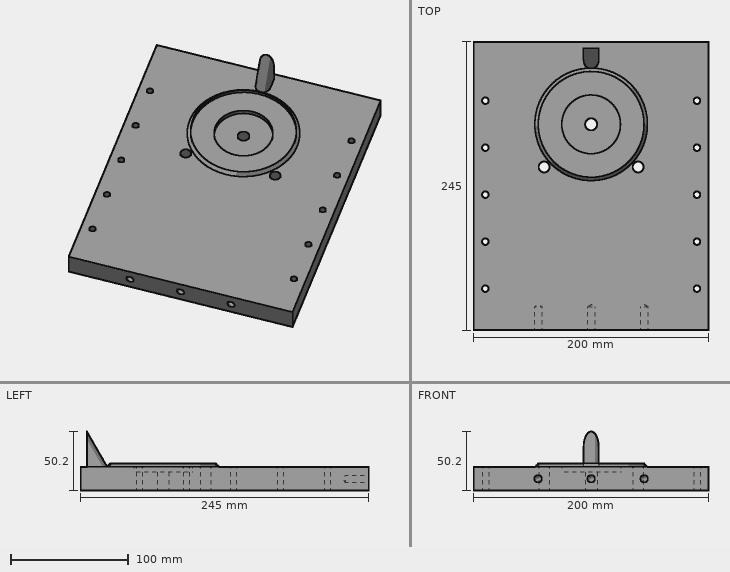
import cadquery as cq
import math

plate_width = 200.0
plate_length = 245.0
plate_thickness = 20.0
back_y = plate_length / 2
front_y = -plate_length / 2

seat_y = back_y - 70.0
rim_inner_diameter = 90.0
rim_height = 3.0
recess_diameter = 50.0
recess_depth = 4.0
bore_diameter = 10.0

side_hole_diameter = 9.0
side_hole_x = 40.0
side_hole_y = seat_y - 36.3

row_hole_diameter = 5.5
row_hole_x = 90.0
row_hole_count = 5
row_pitch = 40.0
row_start_y = back_y - 50.0

front_hole_diameter = 6.4
front_hole_pitch = 45.0
front_hole_depth = 20.0
drill_tip_angle = 118

fin_width = 13.0
fin_top_z = 50.2
fin_back_y = back_y - 5.5
fin_slope = 60


def make_plate():
    return cq.Workplane("XY").box(plate_width, plate_length, plate_thickness, centered=(True, True, False))


def make_rim():
    inner_radius = rim_inner_diameter / 2
    return (
        cq.Workplane("XZ", origin=(0, seat_y, plate_thickness))
        .polyline([(inner_radius, 0), (inner_radius + rim_height, 0), (inner_radius, rim_height)])
        .close()
        .revolve(360, (0, 0), (0, 1))
    )


def make_fin():
    angle = math.radians(fin_slope)
    fin_height = fin_top_z - plate_thickness
    radius = fin_width / 2
    bar_length = 4 * fin_height
    slope_plane = cq.Plane(
        origin=(0, fin_back_y, fin_top_z),
        xDir=(1, 0, 0),
        normal=(0, math.cos(angle), math.sin(angle)),
    )
    bar = (
        cq.Workplane(slope_plane)
        .moveTo(-radius, radius)
        .threePointArc((0, 0), (radius, radius))
        .lineTo(radius, fin_height)
        .lineTo(-radius, fin_height)
        .close()
        .extrude(bar_length / 2, both=True)
    )
    keep = (
        cq.Workplane("XY", origin=(0, fin_back_y, plate_thickness))
        .box(fin_width, fin_height, fin_height, centered=(True, False, False))
        .translate((0, -fin_height, 0))
    )
    return bar.intersect(keep)


def through_holes(points, diameter):
    return cq.Workplane("XY").pushPoints(points).circle(diameter / 2).extrude(plate_thickness + rim_height)


def make_recess():
    floor_z = plate_thickness - recess_depth
    return cq.Workplane("XY", origin=(0, seat_y, floor_z)).circle(recess_diameter / 2).extrude(recess_depth)


def make_front_hole(x):
    radius = front_hole_diameter / 2
    tip_length = radius / math.tan(math.radians(drill_tip_angle / 2))
    return (
        cq.Workplane("XY", origin=(x, front_y, plate_thickness / 2))
        .polyline([(0, 0), (radius, 0), (radius, front_hole_depth), (0, front_hole_depth + tip_length)])
        .close()
        .revolve(360, (0, 0), (0, 1))
    )


row_points = [
    (side * row_hole_x, row_start_y - i * row_pitch)
    for side in (-1, 1)
    for i in range(row_hole_count)
]
side_points = [(-side_hole_x, side_hole_y), (side_hole_x, side_hole_y)]

result = make_plate().union(make_rim()).union(make_fin())
result = result.cut(make_recess())
result = result.cut(through_holes([(0, seat_y)], bore_diameter))
result = result.cut(through_holes(side_points, side_hole_diameter))
result = result.cut(through_holes(row_points, row_hole_diameter))
for step in (-1, 0, 1):
    result = result.cut(make_front_hole(step * front_hole_pitch))